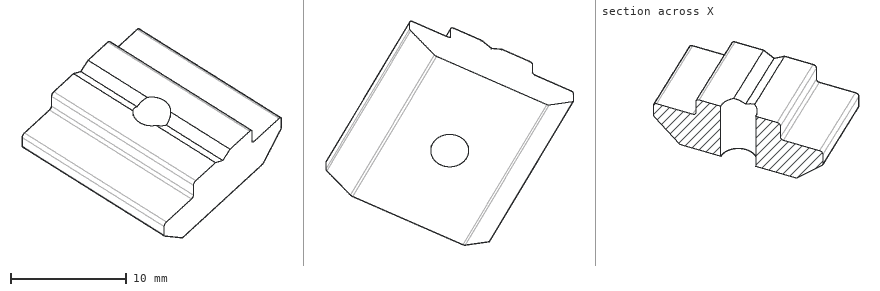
import cadquery as cq

length = 16.0
width = 16.0
height = 6.0

rail_width = 8.0
rail_height = 1.9
flank_size = 2.5
edge_radius = 0.32
inner_radius = 0.27

groove_width = 1.98
groove_depth = 0.6
hole_diameter = 3.3

half_width = width / 2
half_rail = rail_width / 2
half_bottom = half_width - flank_size
shoulder_z = height - rail_height


def round_lengthwise_edges(body, y, z, radius):
    """Round the mirrored pair of edges that run along X at (+/-y, z)."""
    middle_x = length / 2
    for side in (-1, 1):
        edge = cq.selectors.NearestToPointSelector((middle_x, side * y, z))
        body = body.edges("|X").edges(edge).fillet(radius)
    return body


body = (
    cq.Workplane("YZ")
    .moveTo(0, 0)
    .lineTo(half_bottom, 0)
    .lineTo(half_width, flank_size)
    .lineTo(half_width, shoulder_z)
    .lineTo(half_rail, shoulder_z)
    .lineTo(half_rail, height)
    .lineTo(groove_width / 2, height)
    .lineTo(0, height - groove_depth)
    .mirrorY()
    .extrude(length)
)

body = round_lengthwise_edges(body, half_bottom, 0, edge_radius)
body = round_lengthwise_edges(body, half_width, flank_size, edge_radius)
body = round_lengthwise_edges(body, half_width, shoulder_z, edge_radius)
body = round_lengthwise_edges(body, half_rail, shoulder_z, inner_radius)
body = round_lengthwise_edges(body, half_rail, height, edge_radius)

hole = (
    cq.Workplane("XY")
    .center(length / 2, 0)
    .circle(hole_diameter / 2)
    .extrude(height)
)

result = body.cut(hole)